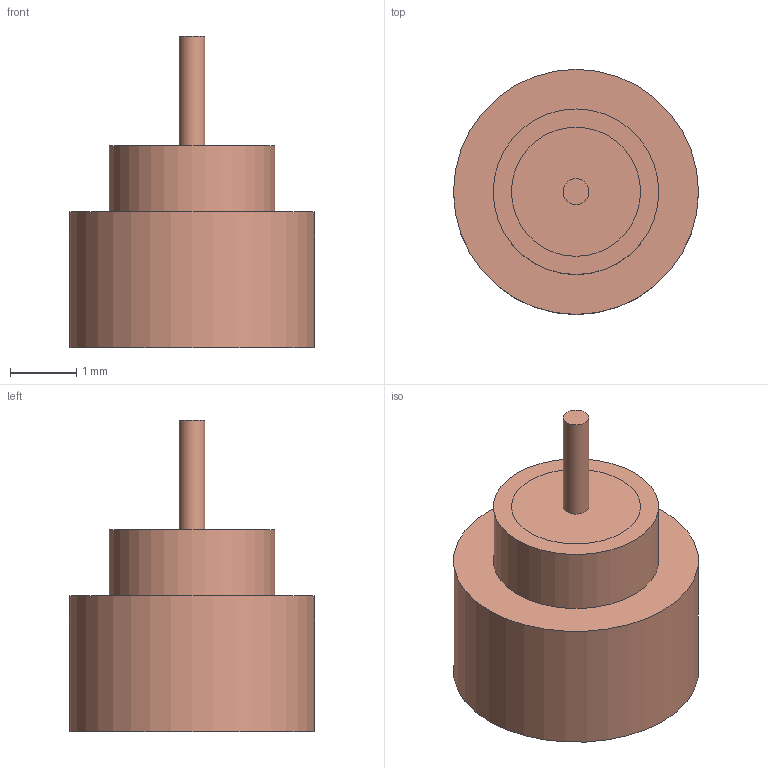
import cadquery as cq

body_diameter = 3.7
collar_diameter = 2.5
insert_diameter = 1.95
pin_diameter = 0.39
total_height = 4.7
body_height = 2.05
collar_height = 1.0

collar_top = body_height + collar_height
pin_height = total_height - collar_top


def cylinder(diameter, bottom, height):
    """Upright cylinder centred on the Z axis."""
    return cq.Workplane("XY").workplane(offset=bottom).circle(diameter / 2).extrude(height)


def make_collar():
    """Collar ring around a central insert that ends flush with its top."""
    insert = cylinder(insert_diameter, body_height, collar_height)
    ring = cylinder(collar_diameter, body_height, collar_height).cut(insert)
    return ring.union(insert, clean=False)


body = cylinder(body_diameter, 0, body_height)
pin = cylinder(pin_diameter, collar_top, pin_height)

result = body.union(make_collar(), clean=False).union(pin, clean=False)